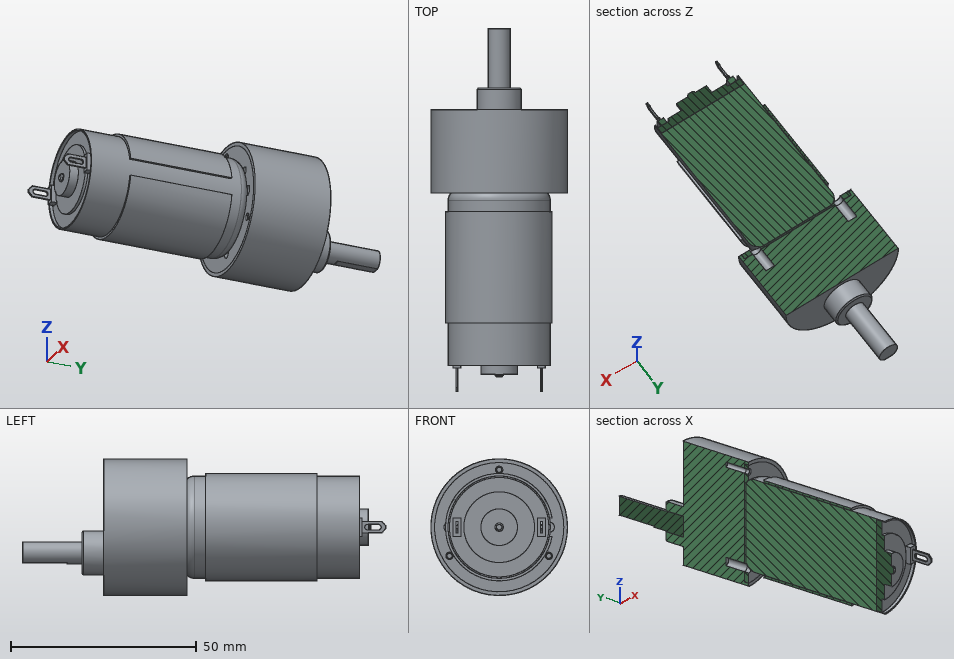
import cadquery as cq
import math


OVERALL_LENGTH = 98.1

GEARBOX_DIAMETER = 37.0
GEARBOX_LENGTH = 22.6
BOSS_DIAMETER = 12.0
BOSS_LENGTH = 5.9
BOSS_CHAMFER = 0.4
SHAFT_OFFSET = 7.0

SHAFT_DIAMETER = 6.0
SHAFT_EXPOSED_LENGTH = 16.0
FLAT_LENGTH = 12.0
FLAT_DEPTH = 0.3

COVER_DIAMETER = 34.9
COVER_THICKNESS = 1.5
HOLE_DEPTH = 7.8
SCREW_CIRCLE_RADIUS = 15.5
SCREW_HOLE_DIAMETER = 1.4
SCREW_COUNTERSINK = 0.3
SCREW_ANGLES = (90, 210, 330)
LARGE_CIRCLE_RADIUS = 13.5
LARGE_HOLE_DIAMETER = 2.7
LARGE_ANGLES = (0, 180)
SMALL_CIRCLE_RADIUS = 13.2
SMALL_HOLE_DIAMETER = 2.4
SMALL_ANGLES = (30, 150, 270)

CAN_DIAMETER = 27.7
CAN_SUNK_DEPTH = 1.0
CAN_REAR_Y = -46.6
CAN_FRONT_FILLET = 2.9
CAN_RIM_WALL = 0.4

RING_DIAMETER = 29.0
RING_FRONT_Y = -5.0
RING_LENGTH = 30.1
RING_GAP = 5.0

CAP_RECESS = 1.0
CAP_THICKNESS = 2.0
CAP_STEP_DIAMETER = 19.1
CAP_STEP_HEIGHT = 0.8
BEARING_DIAMETER = 9.9
BEARING_REAR_Y = -49.0
STUB_DIAMETER = 2.3
STUB_LENGTH = 0.7
STUB_CHAMFER = 0.4

TERMINAL_SPACING = 22.9
BASE_WIDTH = 2.2
BASE_HEIGHT = 5.0
BASE_REAR_Y = -47.3
BLADE_THICKNESS = 0.5
BLADE_HEIGHT = 3.1
BLADE_TIP_HEIGHT = 0.8
BLADE_TAPER_LENGTH = 1.1
EYE_LENGTH = 4.4
EYE_WIDTH = 1.5
EYE_TO_TIP = 1.3

BOSS_FRONT_Y = GEARBOX_LENGTH + BOSS_LENGTH
SHAFT_TIP_Y = BOSS_FRONT_Y + SHAFT_EXPOSED_LENGTH
CAP_DIAMETER = CAN_DIAMETER - 2 * CAN_RIM_WALL
CAP_FACE_Y = CAN_REAR_Y + CAP_RECESS
BLADE_TIP_Y = SHAFT_TIP_Y - OVERALL_LENGTH


def cylinder(diameter, rear_y, front_y, x=0.0, z=0.0):
    """A solid cylinder along Y between two Y positions."""
    plane = cq.Plane(origin=(x, rear_y, z), xDir=(1, 0, 0), normal=(0, 1, 0))
    return cq.Workplane(plane).circle(diameter / 2).extrude(front_y - rear_y)


def place_on_circle(drill, circle_radius, angles):
    """Copies of a drill shape spread around the gearbox axis at the given angles."""
    copies = []
    for angle in angles:
        x = circle_radius * math.cos(math.radians(angle))
        z = circle_radius * math.sin(math.radians(angle))
        copies.append(drill.val().translate(cq.Vector(x, 0, z)))
    return cq.Workplane(cq.Compound.makeCompound(copies))


def countersunk_drill():
    """Screw hole shape, widened at the rear face by a 45 degree countersink."""
    hole_radius = SCREW_HOLE_DIAMETER / 2
    profile = (
        cq.Workplane("XY")
        .lineTo(hole_radius + SCREW_COUNTERSINK, 0)
        .lineTo(hole_radius, SCREW_COUNTERSINK)
        .lineTo(hole_radius, HOLE_DEPTH)
        .lineTo(0, HOLE_DEPTH)
        .close()
    )
    return profile.revolve(360, (0, 0, 0), (0, 1, 0))


def cut_cover_holes(body):
    """Cut the screw holes, the large holes and the small holes from a body."""
    large_drill = cylinder(LARGE_HOLE_DIAMETER, 0, HOLE_DEPTH)
    small_drill = cylinder(SMALL_HOLE_DIAMETER, 0, HOLE_DEPTH)
    body = body.cut(place_on_circle(countersunk_drill(), SCREW_CIRCLE_RADIUS, SCREW_ANGLES))
    body = body.cut(place_on_circle(large_drill, LARGE_CIRCLE_RADIUS, LARGE_ANGLES))
    return body.cut(place_on_circle(small_drill, SMALL_CIRCLE_RADIUS, SMALL_ANGLES))


def make_output_shaft():
    """Round shaft with a flat on the underside of its tip."""
    shaft = cylinder(SHAFT_DIAMETER, GEARBOX_LENGTH, SHAFT_TIP_Y, z=-SHAFT_OFFSET)
    flat_z = -SHAFT_OFFSET - SHAFT_DIAMETER / 2 + FLAT_DEPTH
    flat_cutter = cq.Workplane().box(
        SHAFT_DIAMETER, FLAT_LENGTH, SHAFT_DIAMETER, centered=(True, False, False)
    ).translate((0, SHAFT_TIP_Y - FLAT_LENGTH, flat_z - SHAFT_DIAMETER))
    return shaft.cut(flat_cutter)


def make_can():
    """Motor can with a rounded front edge and a pocket for the end cap."""
    can = cylinder(CAN_DIAMETER, CAN_REAR_Y, CAN_SUNK_DEPTH)
    can = can.faces(">Y").edges().fillet(CAN_FRONT_FILLET)
    return can.cut(cylinder(CAP_DIAMETER, CAN_REAR_Y, CAP_FACE_Y + CAP_THICKNESS))


def make_cover(can):
    """Rear cover plate with a central recess shaped by the rounded front of the can."""
    plate = cylinder(COVER_DIAMETER, 0, COVER_THICKNESS).cut(can)
    return cut_cover_holes(plate)


def make_gearbox():
    """Gearbox housing with its offset boss, shaft bore, cover pocket and blind holes."""
    body = cylinder(GEARBOX_DIAMETER, 0, GEARBOX_LENGTH)
    boss = cylinder(BOSS_DIAMETER, GEARBOX_LENGTH, BOSS_FRONT_Y, z=-SHAFT_OFFSET)
    boss = boss.faces(">Y").edges().chamfer(BOSS_CHAMFER)
    bore = cylinder(SHAFT_DIAMETER, GEARBOX_LENGTH, BOSS_FRONT_Y, z=-SHAFT_OFFSET)
    cover_pocket = cylinder(COVER_DIAMETER, 0, COVER_THICKNESS)
    body = body.union(boss).cut(bore).cut(cover_pocket)
    return cut_cover_holes(body)


def make_flux_ring():
    """Split sleeve around the can, open on the +X side."""
    ring_rear_y = RING_FRONT_Y - RING_LENGTH
    sleeve = cylinder(RING_DIAMETER, ring_rear_y, RING_FRONT_Y)
    bore = cylinder(CAN_DIAMETER, ring_rear_y, RING_FRONT_Y)
    gap = cq.Workplane().box(
        RING_DIAMETER, RING_LENGTH, RING_GAP, centered=(False, False, True)
    ).translate((0, ring_rear_y, 0))
    return sleeve.cut(bore).cut(gap)


def make_end_cap():
    """End cap plate with a raised step, the bearing housing and the motor shaft stub."""
    plate = cylinder(CAP_DIAMETER, CAP_FACE_Y, CAP_FACE_Y + CAP_THICKNESS)
    step = cylinder(CAP_STEP_DIAMETER, CAP_FACE_Y - CAP_STEP_HEIGHT, CAP_FACE_Y)
    bearing = cylinder(BEARING_DIAMETER, BEARING_REAR_Y, CAP_FACE_Y)
    stub = cylinder(STUB_DIAMETER, BEARING_REAR_Y - STUB_LENGTH, BEARING_REAR_Y)
    stub = stub.faces("<Y").edges().chamfer(STUB_CHAMFER)
    return plate.union(step).union(bearing).union(stub)


def make_terminal(x):
    """Solder terminal: a base block and a tapered blade with an elongated eye."""
    base = cq.Workplane().box(
        BASE_WIDTH, CAP_FACE_Y - BASE_REAR_Y, BASE_HEIGHT, centered=(True, False, True)
    ).translate((x, BASE_REAR_Y, 0))
    side_plane = cq.Workplane("YZ", origin=(x, 0, 0))
    taper_y = BLADE_TIP_Y + BLADE_TAPER_LENGTH
    blade = (
        side_plane.moveTo(BASE_REAR_Y, -BLADE_HEIGHT / 2)
        .lineTo(taper_y, -BLADE_HEIGHT / 2)
        .lineTo(BLADE_TIP_Y, -BLADE_TIP_HEIGHT / 2)
        .lineTo(BLADE_TIP_Y, BLADE_TIP_HEIGHT / 2)
        .lineTo(taper_y, BLADE_HEIGHT / 2)
        .lineTo(BASE_REAR_Y, BLADE_HEIGHT / 2)
        .close()
        .extrude(BLADE_THICKNESS / 2, both=True)
    )
    eye_center_y = BLADE_TIP_Y + EYE_TO_TIP + EYE_LENGTH / 2
    eye = side_plane.center(eye_center_y, 0).slot2D(EYE_LENGTH, EYE_WIDTH)
    eye = eye.extrude(BLADE_THICKNESS, both=True)
    return base.union(blade.cut(eye))


output_shaft = make_output_shaft()
can = make_can()
cover = make_cover(can)
gearbox = make_gearbox()
flux_ring = make_flux_ring()
end_cap = make_end_cap()
terminals = [make_terminal(side * TERMINAL_SPACING / 2) for side in (-1, 1)]

result = cq.Compound.makeCompound([
    gearbox.val(),
    cover.val(),
    output_shaft.val(),
    can.val(),
    flux_ring.val(),
    end_cap.val(),
    *[terminal.val() for terminal in terminals],
])